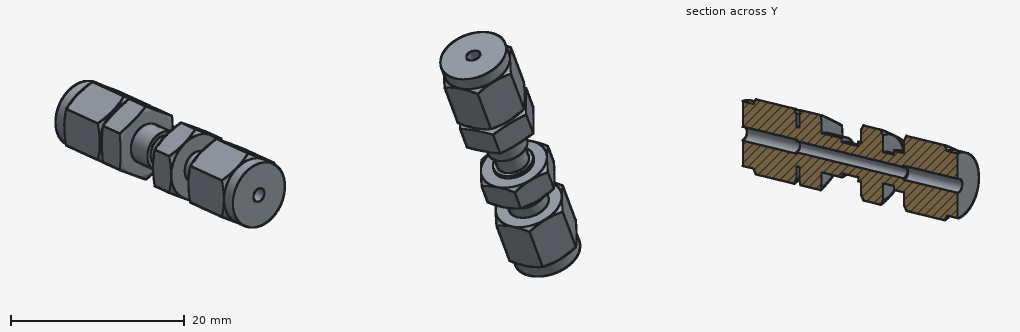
import cadquery as cq
import math

length = 31.5
bore_dia = 1.3
socket_dia = 1.65
neck_dia = 3.85
collar_dia = 4.82

hex_flats = 7.95
hex_corner_dia = hex_flats / math.cos(math.radians(30))
end_face_dia = 7.9
corner_drop = (hex_corner_dia - end_face_dia) / 2
chamfer_steep = corner_drop * math.tan(math.radians(30))
chamfer_shallow = 0.15

nut_rim = 1.58
nut_inner = 7.9
left_hex_start = 8.3
left_hex_end = 11.6
left_collar_end = 14.52
washer_start = 16.9
right_hex_start = 17.3
right_hex_end = 20.57
right_collar_start = 22.1
right_nut_inner = length - nut_inner
socket_depth = nut_inner


def cylinder(start, end, diameter):
    plane = cq.Workplane("YZ", origin=(start - length / 2, 0, 0))
    return plane.circle(diameter / 2).extrude(end - start)


def chamfered_hex(start, end, chamfer):
    """Hexagonal prism whose corners are cut back by a cone at both ends."""
    left = start - length / 2
    right = end - length / 2
    prism = (
        cq.Workplane("YZ", origin=(left, 0, 0))
        .transformed(rotate=(0, 0, 90))
        .polygon(6, hex_corner_dia)
        .extrude(end - start)
    )
    face_radius = end_face_dia / 2
    corner_radius = hex_corner_dia / 2
    turned_envelope = (
        cq.Workplane("XY")
        .moveTo(left, 0)
        .lineTo(left, face_radius)
        .lineTo(left + chamfer, corner_radius)
        .lineTo(right - chamfer, corner_radius)
        .lineTo(right, face_radius)
        .lineTo(right, 0)
        .close()
        .revolve(360, (0, 0, 0), (1, 0, 0))
    )
    return prism.intersect(turned_envelope)


result = cylinder(nut_rim, length - nut_rim, neck_dia)
for start, end in [
    (nut_rim, left_collar_end),
    (washer_start, right_hex_start),
    (right_collar_start, length - nut_rim),
]:
    result = result.union(cylinder(start, end, collar_dia))
result = result.union(chamfered_hex(left_hex_start, left_hex_end, chamfer_shallow))
result = result.union(chamfered_hex(right_hex_start, right_hex_end, chamfer_steep))

for rim_start, rim_end, hex_start, hex_end in [
    (0, nut_rim, nut_rim, nut_inner),
    (length - nut_rim, length, right_nut_inner, length - nut_rim),
]:
    result = result.union(cylinder(rim_start, rim_end, end_face_dia))
    result = result.union(chamfered_hex(hex_start, hex_end, chamfer_steep))

result = result.cut(cylinder(0, length, bore_dia))
result = result.cut(cylinder(0, socket_depth, socket_dia))
result = result.cut(cylinder(length - socket_depth, length, socket_dia))